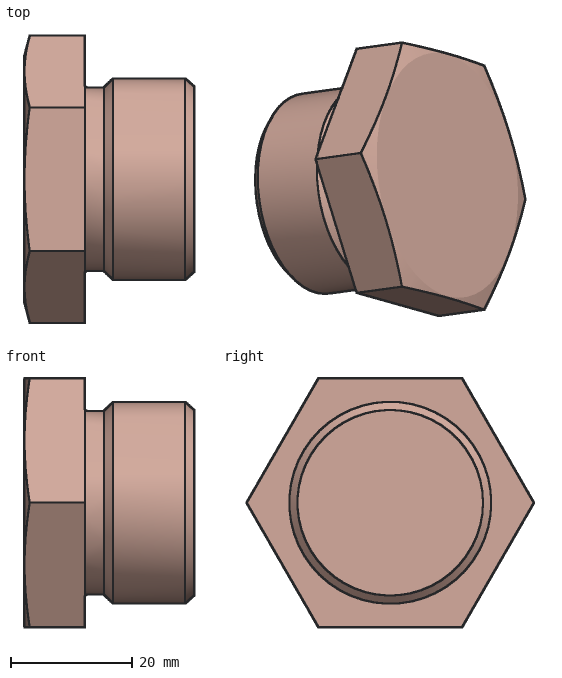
import cadquery as cq
import math

width_across_flats = 41.0
width_across_corners = width_across_flats / math.cos(math.radians(30))
head_length = 10.0
head_face_diameter = 40.6
head_chamfer_angle = 15.0

overall_length = 28.0
plug_diameter = 33.25
relief_diameter = 30.29
root_fillet_radius = 0.3
relief_length = 3.1
relief_shoulder_length = 1.55
end_chamfer_length = 1.5
end_chamfer_depth = 1.35


def revolve_about_x(points):
    """Solid of revolution about X from a closed (x, radius) outline."""
    return cq.Workplane("XY").polyline(points).close().revolve(360, (0, 0, 0), (1, 0, 0))


def hexagon_head():
    """Hexagon with two flats facing +Z and -Z and corners cut by a cone at its free end."""
    prism = (
        cq.Workplane("YZ")
        .polygon(6, width_across_corners)
        .extrude(head_length)
    )
    face_radius = head_face_diameter / 2
    cone_radius = face_radius + head_length / math.tan(math.radians(head_chamfer_angle))
    cone = revolve_about_x([(0, 0), (0, face_radius), (head_length, cone_radius), (head_length, 0)])
    return prism.intersect(cone)


def plug():
    """Round plug with a thread relief next to the head and a chamfered free end."""
    plug_radius = plug_diameter / 2
    relief_radius = relief_diameter / 2
    relief_end = head_length + relief_length
    return revolve_about_x([
        (head_length, 0),
        (head_length, relief_radius),
        (relief_end, relief_radius),
        (relief_end + relief_shoulder_length, plug_radius),
        (overall_length - end_chamfer_length, plug_radius),
        (overall_length, plug_radius - end_chamfer_depth),
        (overall_length, 0),
    ])


def root_fillet():
    """Ring that rounds the inner corner between the relief and the head."""
    relief_radius = relief_diameter / 2
    fillet_end = head_length + root_fillet_radius
    fillet_top = relief_radius + root_fillet_radius
    arc_offset = root_fillet_radius * (1 - math.cos(math.radians(45)))
    return (
        cq.Workplane("XY")
        .moveTo(head_length, 0)
        .lineTo(head_length, fillet_top)
        .threePointArc((head_length + arc_offset, relief_radius + arc_offset), (fillet_end, relief_radius))
        .lineTo(fillet_end, 0)
        .close()
        .revolve(360, (0, 0, 0), (1, 0, 0))
    )


result = hexagon_head().union(plug()).union(root_fillet())